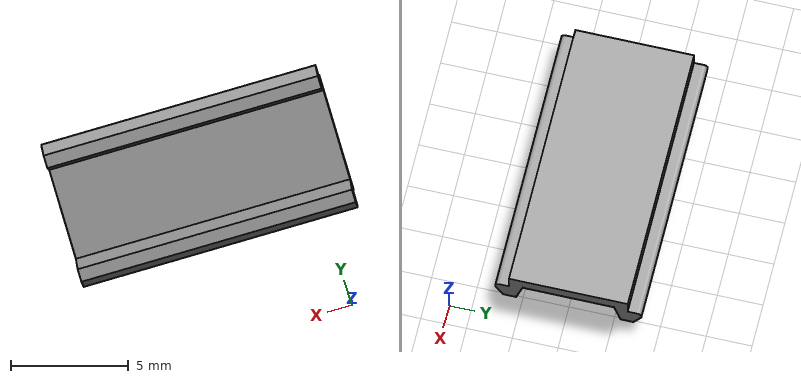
import cadquery as cq
import math

length = 12.15
overall_width = 6.4
height = 1.6

plate_width = 5.19
plate_thickness = 0.6

channel_top_width = 4.0
channel_bottom_width = 4.56

lip_drop = 0.72
nose_radius = 0.21
foot_slope = math.radians(30)

bottom = -height / 2
top = height / 2
channel_roof = top - plate_thickness
lip_top = top - lip_drop
nose_center_y = overall_width / 2 - nose_radius
nose_center_z = lip_top - nose_radius


def nose_point(angle):
    """Point on the nose arc at an angle above the horizontal."""
    return (
        nose_center_y + nose_radius * math.cos(angle),
        nose_center_z + nose_radius * math.sin(angle),
    )


nose_start = (nose_center_y, lip_top)
nose_middle = nose_point((math.pi / 2 - foot_slope) / 2)
nose_end = nose_point(-foot_slope)
foot_edge_y = nose_end[0] - (nose_end[1] - bottom) * math.tan(foot_slope)

half_section = (
    cq.Workplane("YZ")
    .moveTo(0, top)
    .lineTo(plate_width / 2, top)
    .lineTo(plate_width / 2, lip_top)
    .lineTo(*nose_start)
    .threePointArc(nose_middle, nose_end)
    .lineTo(foot_edge_y, bottom)
    .lineTo(channel_bottom_width / 2, bottom)
    .lineTo(channel_top_width / 2, channel_roof)
    .lineTo(0, channel_roof)
    .close()
)

half_cover = half_section.extrude(length / 2, both=True)
result = half_cover.union(half_cover.mirror("XZ")).clean()